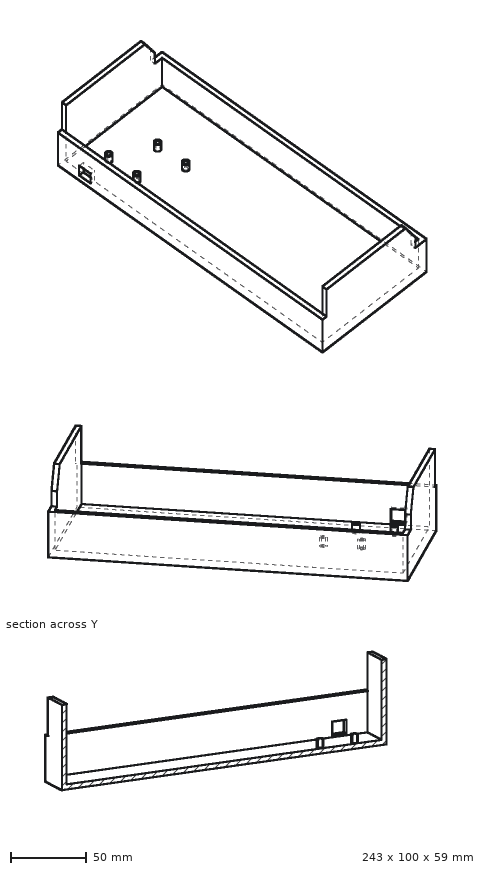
import cadquery as cq

length = 243.0
width = 100.0
wall = 4.0
floor = 4.0
tray_height = 32.3

panel_top = 59.0
panel_back_setback = 11.0
panel_slope_run = 9.2
panel_slope_start = 43.0

post_diameter = 5.0
post_bore = 3.0
post_height = 6.3
post_pitch = 25.8
front_row_x = 23.8
front_row_y = 24.0
row_shift = 16.3
row_spacing = 30.0

port_x = 19.7
port_z = 5.0
port_width = 10.5
port_height = 9.5


def make_tray():
    body = cq.Workplane("XY").box(length, width, tray_height, centered=False)
    cavity = (
        cq.Workplane("XY", origin=(wall, wall, floor))
        .box(length - 2 * wall, width - 2 * wall, tray_height - floor, centered=False)
    )
    return body.cut(cavity)


def make_end_panel(x):
    """Panel rising from the floor to full height, with a sloped back corner."""
    back = width - panel_back_setback
    return (
        cq.Workplane("YZ", origin=(x, 0, 0))
        .moveTo(wall, floor)
        .lineTo(back, floor)
        .lineTo(back, panel_slope_start)
        .lineTo(back - panel_slope_run, panel_top)
        .lineTo(wall, panel_top)
        .close()
        .extrude(wall)
    )


def make_posts():
    centers = []
    for row in range(2):
        for column in range(2):
            x = front_row_x + row * row_shift + column * post_pitch
            y = front_row_y + row * row_spacing
            centers.append((x, y))
    base = cq.Workplane("XY", origin=(0, 0, floor)).pushPoints(centers)
    bores = base.circle(post_bore / 2).extrude(post_height)
    return base.circle(post_diameter / 2).extrude(post_height).cut(bores)


def make_port():
    return (
        cq.Workplane("XY", origin=(port_x, 0, port_z))
        .box(port_width, wall, port_height, centered=False)
    )


result = make_tray()
for panel_x in (0, length - wall):
    result = result.union(make_end_panel(panel_x))
result = result.union(make_posts()).cut(make_port())